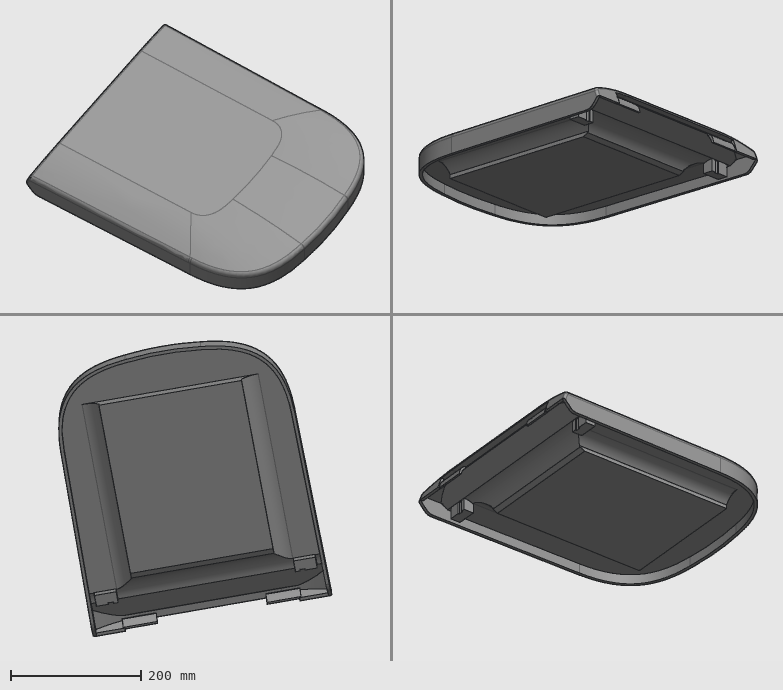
import cadquery as cq

CROWN_Z = 49.5
SKIRT_BOTTOM_Z = 4.5
DOME_EDGE_Z = 37.0
TURN_ANGLE = 0.3

REAR_HALF_WIDTH = 186.0
SIDE_END = (303.0, 182.0)
CORNER_MID = (398.0, 149.0)
NOSE_END = (431.0, 59.0)
NOSE_X = 434.5

CROWN_HALF_WIDTH = 110.0
CROWN_SIDE_END = (255.0, 109.7)
CROWN_CORNER_MID = (282.0, 95.0)
CROWN_NOSE_END = (292.5, 52.3)
CROWN_NOSE_X = 295.0

DOME_STEPS = 3
SIDE_TANGENT = (1.0, -0.01)
NOSE_TANGENT = (0.09, -1.0)
REAR_OVERRUN_X = -8.5

TIP_Z = 23.0
REAR_TOP_X = 9.5
CHIN_START = (13.0, 8.5)
CHIN_MID = (18.0, 5.5)
CHIN_END_X = 24.0

SKIN = 5.2
EDGE_RADIUS = 8.0
REAR_EDGE_RADIUS = 4.0
RIM_BAND = 1.0
REAR_EDGE_MIN_X = 2.0

PANEL_INNER_Y = 136.0
TAB_INNER_Y = 85.5
TAB_ROOT_Y = 138.5
TAB_BOTTOM_Z = 24.0
TAB_SETBACK = 3.0
TAB_SHOULDER_Z = 35.5
TAB_TOP_Z = 41.5
TAB_REACH = 12.0
TAB_THICKNESS = 3.0

LINER_REAR_X = 19.5
LINER_REAR_Z = 42.5
COVE_TOP = (52.3, 25.0)
COVE_MID = (72.5, 19.0)
HUMP_REAR_X = 87.0
HUMP_BOTTOM_REAR_X = 96.0
HUMP_FRONT_X = 368.0
HUMP_HALF_WIDTH = 111.0
FLARE_HALF_WIDTH = 137.0
FLARE_MID = (122.5, 17.0)
FLARE_SIDE_Z = 6.5
LINER_FLOOR_Z = 21.0

FOOT_INNER_Y = 138.0
FOOT_OUTER_Y = 172.0
FOOT_REAR_X = 52.3
FOOT_LENGTH = 17.5
FOOT_TOP_Z = 27.0
FOOT_GROOVE_INNER_Y = 145.5
FOOT_GROOVE_OUTER_Y = 153.5
FOOT_GROOVE_DEPTH = 2.0

FAR = 522.5


def blend(inner, outer, fraction):
    return tuple(a + (b - a) * fraction for a, b in zip(inner, outer))


def outline(fraction, inset, z):
    """Closed outline between the crown (fraction 0) and the skirt moved in by inset (fraction 1)."""
    diagonal = inset * 0.5 ** 0.5
    rear = blend((CROWN_HALF_WIDTH,), (REAR_HALF_WIDTH - inset,), fraction)[0]
    side = blend(CROWN_SIDE_END, (SIDE_END[0], SIDE_END[1] - inset), fraction)
    corner = blend(CROWN_CORNER_MID, (CORNER_MID[0] - diagonal, CORNER_MID[1] - diagonal), fraction)
    nose_end = blend(CROWN_NOSE_END, (NOSE_END[0] - inset, NOSE_END[1]), fraction)
    nose = blend((CROWN_NOSE_X,), (NOSE_X - inset,), fraction)[0]
    return (
        cq.Workplane("XY", origin=(0, 0, z))
        .moveTo(REAR_OVERRUN_X, -rear)
        .lineTo(REAR_OVERRUN_X, rear)
        .lineTo(*side)
        .spline([corner, nose_end], tangents=[SIDE_TANGENT, NOSE_TANGENT], includeCurrent=True)
        .threePointArc((nose, 0), (nose_end[0], -nose_end[1]))
        .spline(
            [(corner[0], -corner[1]), (side[0], -side[1])],
            tangents=[(-NOSE_TANGENT[0], NOSE_TANGENT[1]), (-SIDE_TANGENT[0], SIDE_TANGENT[1])],
            includeCurrent=True,
        )
        .close()
    )


def domed_block(inset, bottom_z, lowering):
    """Straight skirt with a dome that falls off as a parabola from the flat crown."""
    edge_z = DOME_EDGE_Z - lowering
    skirt = outline(1, inset, bottom_z).extrude(edge_z - bottom_z)
    wires = []
    for step in range(DOME_STEPS, -1, -1):
        fraction = step / DOME_STEPS
        z = CROWN_Z - lowering - (CROWN_Z - DOME_EDGE_Z) * fraction ** 2
        wires.append(outline(fraction, inset, z).val())
    dome = cq.Workplane(cq.Solid.makeLoft(wires))
    return skirt.union(dome)


def rear_x(z):
    """X of the sloping rear face at height z."""
    return REAR_TOP_X * (z - TIP_Z) / (CROWN_Z - TIP_Z)


def across(profile, half_width):
    return profile.extrude(half_width, both=True)


def mirrored(body):
    return body.union(body.mirror("XZ"))


def side_envelope():
    profile = (
        cq.Workplane("XZ")
        .moveTo(REAR_TOP_X, CROWN_Z)
        .lineTo(0, TIP_Z)
        .lineTo(*CHIN_START)
        .threePointArc(CHIN_MID, (CHIN_END_X, SKIRT_BOTTOM_Z))
        .lineTo(FAR, SKIRT_BOTTOM_Z)
        .lineTo(FAR, CROWN_Z)
        .close()
    )
    return across(profile, FAR)


def lid_outside():
    rim = cq.selectors.BoxSelector(
        (REAR_OVERRUN_X + RIM_BAND, -FAR, DOME_EDGE_Z - RIM_BAND),
        (FAR, FAR, DOME_EDGE_Z + RIM_BAND),
    )
    body = domed_block(0, SKIRT_BOTTOM_Z, 0).edges(rim).fillet(EDGE_RADIUS)
    body = body.intersect(side_envelope())
    rear_edge = cq.selectors.BoxSelector(
        (REAR_EDGE_MIN_X, -FAR, DOME_EDGE_Z),
        (REAR_TOP_X + RIM_BAND, FAR, CROWN_Z + RIM_BAND),
    )
    return body.edges(rear_edge).fillet(REAR_EDGE_RADIUS)


def rear_panels(cavity):
    slab = (
        cq.Workplane("XZ", origin=(0, -PANEL_INNER_Y, 0))
        .moveTo(rear_x(TIP_Z), TIP_Z)
        .lineTo(rear_x(CROWN_Z), CROWN_Z)
        .lineTo(rear_x(CROWN_Z) + SKIN, CROWN_Z)
        .lineTo(rear_x(TIP_Z) + SKIN, TIP_Z)
        .close()
        .extrude(FAR)
    )
    return mirrored(slab).intersect(cavity)


def hinge_tabs():
    back = rear_x(TAB_BOTTOM_Z) + TAB_SETBACK
    shoulder = rear_x(TAB_SHOULDER_Z) + TAB_SETBACK
    top = back + TAB_REACH
    tab = (
        cq.Workplane("XZ", origin=(0, -TAB_INNER_Y, 0))
        .moveTo(back, TAB_BOTTOM_Z)
        .threePointArc((shoulder, TAB_SHOULDER_Z), (top, TAB_TOP_Z))
        .lineTo(top, TAB_TOP_Z - TAB_THICKNESS)
        .threePointArc(
            (shoulder + TAB_THICKNESS, TAB_SHOULDER_Z - TAB_THICKNESS),
            (back + TAB_THICKNESS, TAB_BOTTOM_Z),
        )
        .close()
        .extrude(TAB_ROOT_Y - TAB_INNER_Y)
    )
    return mirrored(tab)


def make_lid(cavity):
    hollow = cavity.cut(rear_panels(cavity))
    return lid_outside().cut(hollow).union(hinge_tabs())


def hump_and_plate():
    side_profile = (
        cq.Workplane("XZ")
        .moveTo(LINER_REAR_X, CROWN_Z)
        .lineTo(LINER_REAR_X, LINER_REAR_Z)
        .lineTo(*COVE_TOP)
        .threePointArc(COVE_MID, (HUMP_REAR_X, SKIRT_BOTTOM_Z))
        .lineTo(HUMP_BOTTOM_REAR_X, 0)
        .lineTo(HUMP_FRONT_X, 0)
        .lineTo(HUMP_FRONT_X, LINER_FLOOR_Z)
        .lineTo(FAR, LINER_FLOOR_Z)
        .lineTo(FAR, CROWN_Z)
        .close()
    )
    cross_section = (
        cq.Workplane("YZ")
        .moveTo(0, 0)
        .lineTo(HUMP_HALF_WIDTH, 0)
        .lineTo(HUMP_HALF_WIDTH, FLARE_SIDE_Z)
        .threePointArc(FLARE_MID, (FLARE_HALF_WIDTH, LINER_FLOOR_Z))
        .lineTo(FAR, LINER_FLOOR_Z)
        .lineTo(FAR, CROWN_Z)
        .lineTo(0, CROWN_Z)
        .close()
        .extrude(FAR)
    )
    return across(side_profile, FAR).intersect(mirrored(cross_section))


def upright_bar(inner_y, outer_y, length):
    size = (length, outer_y - inner_y, FOOT_TOP_Z - SKIRT_BOTTOM_Z)
    return (
        cq.Workplane("XY", origin=(FOOT_REAR_X, inner_y, SKIRT_BOTTOM_Z))
        .box(*size, centered=False)
    )


def feet():
    foot = upright_bar(FOOT_INNER_Y, FOOT_OUTER_Y, FOOT_LENGTH)
    groove = upright_bar(FOOT_GROOVE_INNER_Y, FOOT_GROOVE_OUTER_Y, FOOT_GROOVE_DEPTH)
    return mirrored(foot.cut(groove))


def make_liner(cavity):
    return hump_and_plate().union(feet()).intersect(cavity)


cavity = domed_block(SKIN, 0, SKIN)
lid = make_lid(cavity)
liner = make_liner(cavity)
lid_solid = lid.rotate((0, 0, 0), (0, 0, 1), TURN_ANGLE).solids().val()
liner_solid = liner.rotate((0, 0, 0), (0, 0, 1), TURN_ANGLE).solids().val()
result = cq.Compound.makeCompound([lid_solid, liner_solid])